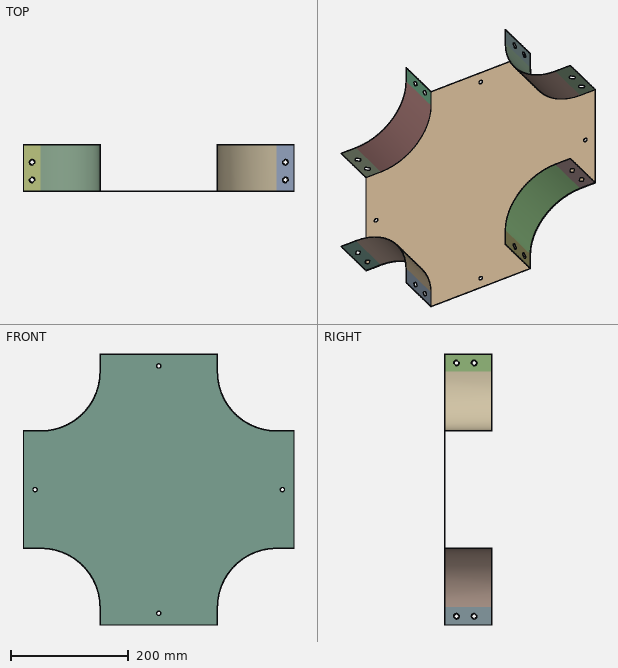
import cadquery as cq

span = 460.0
arm_width = 200.0
bend_radius = 100.0
depth = 80.0
thickness = 0.8

plate_hole_diameter = 7.0
plate_hole_inset = 20.0

slot_diameter = 10.0
slot_width = 7.0
slot_tilt = 45.0
slot_inset = 15.0
slot_from_plate = 20.0
slot_pitch = 30.0

half_span = span / 2
half_arm = arm_width / 2
arc_center = half_arm + bend_radius
plate_y = -depth / 2
inner_plate_y = plate_y + thickness
slot_position = half_span - slot_inset
first_slot_y = plate_y + slot_from_plate


def cross_prism(inset, start_y, length):
    """Cross with concave rounded corners, its sides moved inwards by inset, extruded along +Y."""
    side = half_arm - inset
    radius = bend_radius + inset
    prism = cq.Workplane("XY").box(span, length, span)
    for x_sign in (-1, 1):
        for z_sign in (-1, 1):
            notch = (
                cq.Workplane("XZ")
                .moveTo(x_sign * span, z_sign * side)
                .lineTo(x_sign * arc_center, z_sign * side)
                .radiusArc((x_sign * side, z_sign * arc_center), x_sign * z_sign * radius)
                .lineTo(x_sign * side, z_sign * span)
                .lineTo(x_sign * span, z_sign * span)
                .close()
                .extrude(depth, both=True)
            )
            prism = prism.cut(notch)
    return prism.translate((0, start_y + length / 2, 0))


def plate_holes():
    """Cutters for the screw holes at the four arm ends."""
    reach = half_span - plate_hole_inset
    return (
        cq.Workplane("XZ")
        .pushPoints([(-reach, 0), (reach, 0), (0, -reach), (0, reach)])
        .circle(plate_hole_diameter / 2)
        .extrude(depth, both=True)
    )


def wall_slots(plane, side, tilt):
    """Cutters for the walls on one side (-1 or 1) of plane (XY or YZ)."""
    centers = []
    for end in (-slot_position, slot_position):
        for row in (0, 1):
            y = first_slot_y + row * slot_pitch
            centers.append((end, y) if plane == "XY" else (y, end))
    reach = side * half_span
    band_length = 2 * slot_diameter
    rounds = cq.Workplane(plane).pushPoints(centers).circle(slot_diameter / 2).extrude(reach)
    bands = (
        cq.Workplane(plane)
        .pushPoints(centers)
        .slot2D(band_length, slot_width, tilt)
        .extrude(reach)
    )
    return rounds.intersect(bands)


outer = cross_prism(0, plate_y, depth)
channel = cross_prism(thickness, inner_plate_y, depth)

result = (
    outer.cut(channel)
    .cut(plate_holes())
    .cut(wall_slots("XY", 1, slot_tilt))
    .cut(wall_slots("XY", -1, -slot_tilt))
    .cut(wall_slots("YZ", -1, slot_tilt))
    .cut(wall_slots("YZ", 1, -slot_tilt))
)